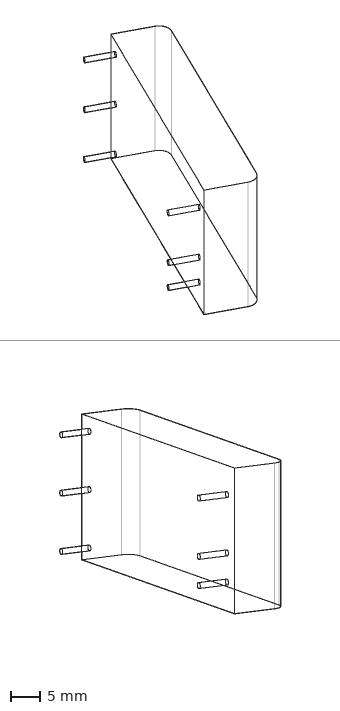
import cadquery as cq

length = 50.8
height = 25.4
total_depth = 15.75
pin_length = 5.6
body_depth = total_depth - pin_length
edge_radius = 2.3
pin_diameter = 1.0

pitch = 2.55
left_column = 1
right_column = length / pitch - 1
left_rows = [1, 5, 9]
right_rows = [2, 4, 8]


def make_body():
    """Block with its pin face on Y = 0 and its rear vertical edges rounded."""
    block = cq.Workplane("XY").box(length, body_depth, height, centered=False)
    return block.edges("|Z and >Y").fillet(edge_radius)


def make_pins():
    """Round pins reaching from the pin face toward -Y."""
    left_pins = [(left_column * pitch, row * pitch) for row in left_rows]
    right_pins = [(right_column * pitch, row * pitch) for row in right_rows]
    return (
        cq.Workplane("XZ")
        .pushPoints(left_pins + right_pins)
        .circle(pin_diameter / 2)
        .extrude(pin_length)
    )


result = make_body().union(make_pins())